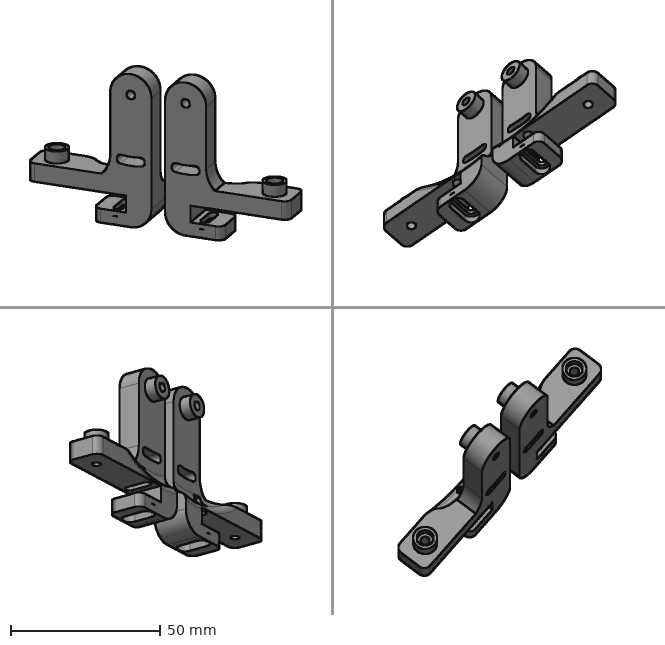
import cadquery as cq
import math

OVERALL_LENGTH = 95.0
HEIGHT = 55.0
DEPTH = 13.0
HALF_GAP = 2.5

UPRIGHT_WIDTH = 15.0
UPRIGHT_THICKNESS = 8.0
TOP_RADIUS = UPRIGHT_WIDTH / 2
PIVOT_X = HALF_GAP + TOP_RADIUS
PIVOT_Z = HEIGHT - TOP_RADIUS
UPRIGHT_OUTER_X = HALF_GAP + UPRIGHT_WIDTH

ARM_END_X = OVERALL_LENGTH / 2
ARM_BOTTOM_Z = 11.0
ARM_TOP_Z = 17.7
FOOT_END_X = 23.5
FOOT_THICKNESS = 5.0
THROAT_X = 11.8
END_CORNER_RADIUS = 2.6

WEB_RADIUS = 10.0
WEB_START_Z = 25.0

CLEARANCE_FLAT_RADIUS = 29.8
CLEARANCE_ROOT_RADIUS = 5.0
CLEARANCE_EDGE_RADIUS = 3.0

BOSS_DIAMETER = 8.1
BOSS_HEIGHT = 4.3
BORE_DIAMETER = 3.0
COUNTERBORE_DIAMETER = 5.6
COUNTERBORE_DEPTH = 2.5
ARM_BOSS_X = 39.6

SLOT_WIDTH = 3.2
CURVED_SLOT_RADIUS = 23.8
CURVED_SLOT_LENGTH = 10.2

FOOT_SLOT_X = 15.8
FOOT_SLOT_FRONT_Y = 1.5
FOOT_SLOT_BACK_Y = 11.6
FOOT_RECESS_DEPTH = 3.0


def front_plane(y=0.0):
    """Sketch plane facing -Y: local x is X, local y is Z, and extrusion by -d goes to +Y."""
    return cq.Workplane("XZ", origin=(0, y, 0))


def bracket_blank():
    """Side outline of the upright, arm and foot, extruded through the full depth."""
    web_center_x = UPRIGHT_OUTER_X + WEB_RADIUS
    web_end_angle = math.asin((WEB_START_Z - ARM_TOP_Z) / WEB_RADIUS)

    def web_point(angle):
        return (web_center_x - WEB_RADIUS * math.cos(angle), WEB_START_Z - WEB_RADIUS * math.sin(angle))

    outline = (
        front_plane()
        .moveTo(HALF_GAP, PIVOT_Z)
        .threePointArc((PIVOT_X, HEIGHT), (UPRIGHT_OUTER_X, PIVOT_Z))
        .lineTo(UPRIGHT_OUTER_X, WEB_START_Z)
        .threePointArc(web_point(web_end_angle / 2), web_point(web_end_angle))
        .lineTo(ARM_END_X, ARM_TOP_Z)
        .lineTo(ARM_END_X, ARM_BOTTOM_Z)
        .lineTo(THROAT_X, ARM_BOTTOM_Z)
        .lineTo(THROAT_X, FOOT_THICKNESS)
        .lineTo(FOOT_END_X, FOOT_THICKNESS)
        .lineTo(FOOT_END_X, 0)
        .lineTo(PIVOT_X, 0)
        .radiusArc((HALF_GAP, TOP_RADIUS), TOP_RADIUS)
        .close()
    )
    return outline.extrude(-DEPTH)


def round_end_corners(bracket):
    """Round the vertical corners at the free ends of the arm and the foot."""
    for end_x, middle_z in (
        (ARM_END_X, (ARM_BOTTOM_Z + ARM_TOP_Z) / 2),
        (FOOT_END_X, FOOT_THICKNESS / 2),
    ):
        for y in (0, DEPTH):
            corner = cq.selectors.NearestToPointSelector((end_x, y, middle_z))
            bracket = bracket.edges("|Z").edges(corner).fillet(END_CORNER_RADIUS)
    return bracket


def pivot_clearance():
    """Disc behind the upright whose rim is a concave root arc meeting a convex edge arc smoothly."""
    rim_height = DEPTH - UPRIGHT_THICKNESS
    radius_sum = CLEARANCE_ROOT_RADIUS + CLEARANCE_EDGE_RADIUS
    arc_angle = math.acos(1 - rim_height / radius_sum)
    outer_radius = CLEARANCE_FLAT_RADIUS + radius_sum * math.sin(arc_angle)

    def root_point(angle):
        return (
            CLEARANCE_FLAT_RADIUS + CLEARANCE_ROOT_RADIUS * math.sin(angle),
            UPRIGHT_THICKNESS + CLEARANCE_ROOT_RADIUS * (1 - math.cos(angle)),
        )

    def edge_point(angle):
        return (
            outer_radius - CLEARANCE_EDGE_RADIUS * math.sin(angle),
            DEPTH - CLEARANCE_EDGE_RADIUS * (1 - math.cos(angle)),
        )

    section = (
        cq.Workplane("XY", origin=(PIVOT_X, 0, PIVOT_Z))
        .moveTo(0, UPRIGHT_THICKNESS)
        .lineTo(*root_point(0))
        .threePointArc(root_point(arc_angle / 2), root_point(arc_angle))
        .threePointArc(edge_point(arc_angle / 2), edge_point(0))
        .lineTo(0, DEPTH)
        .close()
    )
    return section.revolve(360, (0, 0), (0, 1))


def add_pivot_boss(bracket):
    """Boss on the back of the upright, with a plain bore through both."""
    boss = (
        front_plane(UPRIGHT_THICKNESS)
        .center(PIVOT_X, PIVOT_Z)
        .circle(BOSS_DIAMETER / 2)
        .extrude(-BOSS_HEIGHT)
    )
    bore = front_plane().center(PIVOT_X, PIVOT_Z).circle(BORE_DIAMETER / 2).extrude(-DEPTH)
    return bracket.union(boss).cut(bore)


def add_arm_boss(bracket):
    """Counterbored boss standing on the arm near its free end."""
    base = cq.Workplane("XY", origin=(ARM_BOSS_X, DEPTH / 2, ARM_TOP_Z))
    boss = base.circle(BOSS_DIAMETER / 2).extrude(BOSS_HEIGHT)
    return (
        bracket.union(boss)
        .copyWorkplane(base.workplane(offset=BOSS_HEIGHT))
        .cboreHole(BORE_DIAMETER, COUNTERBORE_DIAMETER, COUNTERBORE_DEPTH)
    )


def curved_slot():
    """Round-ended slot through the upright along an arc about the pivot."""
    half_width = SLOT_WIDTH / 2
    half_angle = math.asin((CURVED_SLOT_LENGTH / 2 - half_width) / CURVED_SLOT_RADIUS)

    def slot_point(radius, angle):
        return (PIVOT_X + radius * math.sin(angle), PIVOT_Z - radius * math.cos(angle))

    inner = CURVED_SLOT_RADIUS - half_width
    outer = CURVED_SLOT_RADIUS + half_width
    return (
        front_plane()
        .moveTo(*slot_point(inner, -half_angle))
        .threePointArc(slot_point(inner, 0), slot_point(inner, half_angle))
        .radiusArc(slot_point(outer, half_angle), half_width)
        .threePointArc(slot_point(outer, 0), slot_point(outer, -half_angle))
        .radiusArc(slot_point(inner, -half_angle), half_width)
        .close()
        .extrude(-DEPTH)
    )


def foot_slot():
    """Slot along Y from the underside up to the level of the arm's top, wider at the underside."""
    middle_y = (FOOT_SLOT_FRONT_Y + FOOT_SLOT_BACK_Y) / 2
    slot_length = FOOT_SLOT_BACK_Y - FOOT_SLOT_FRONT_Y
    recess_length = slot_length + COUNTERBORE_DIAMETER - SLOT_WIDTH
    base = cq.Workplane("XY", origin=(FOOT_SLOT_X, middle_y, 0))
    slot = base.slot2D(slot_length, SLOT_WIDTH, 90).extrude(ARM_TOP_Z)
    recess = base.slot2D(recess_length, COUNTERBORE_DIAMETER, 90).extrude(FOOT_RECESS_DEPTH)
    return slot.union(recess)


def make_bracket():
    """Complete bracket on the +X side."""
    bracket = round_end_corners(bracket_blank())
    bracket = bracket.cut(pivot_clearance())
    bracket = add_pivot_boss(bracket)
    bracket = add_arm_boss(bracket)
    return bracket.cut(curved_slot()).cut(foot_slot())


right_bracket = make_bracket()
left_bracket = right_bracket.mirror("YZ")

result = cq.Compound.makeCompound([right_bracket.val(), left_bracket.val()])